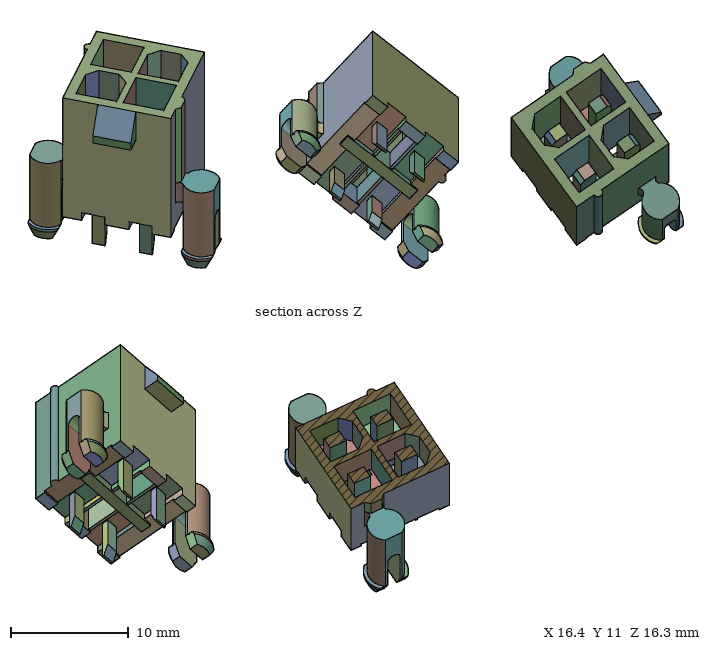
import cadquery as cq
import math


housing_side = 9.6
housing_height = 12.81
half_side = housing_side / 2

cavity_side = 3.6
divider = 0.59
cavity_corner = 0.9
cavity_floor = 3.28
cavity_pitch = cavity_side + divider
cavity_offset = cavity_pitch / 2

foot_width = 1.02
foot_height = 0.25
groove_length = (housing_side - 3 * foot_width) / 2
groove_offset = (groove_length + foot_width) / 2
middle_foot_length = cavity_pitch + cavity_side
window_width = 1.64
pocket_width = 2.05
pocket_height = 0.84

contact_width = 1.15
contact_thickness = 1.57
contact_top = 9.83
blade_tip_run = 0.41
blade_tip_rise = 0.67
tail_thickness = 0.62
tail_tip_run = 0.45
tail_tip_rise = 1.11
tail_bottom = -3.49
rear_contact_face = 2.87
front_contact_face = -3.28

latch_width = 3.37
latch_reach = 1.41
latch_height = 3.08
latch_slope_drop = 2.33

round_rib_radius = 0.4
round_rib_y = 2.59
key_rib_reach = 0.4
key_rib_width = 1.87

overall_width = 16.38
peg_y = -2.52
peg_diameter = 3.2
peg_flat_width = 2.77
peg_top = 4.83
peg_bottom = -3.28
peg_x = (overall_width - peg_flat_width) / 2
barb_diameter = 3.83
barb_top = -2.05
barb_rim = 0.26
barb_tip_width = 1.59
slot_width = 1.18
slot_top = 1.95
neck_height = 2.08
neck_root_width = key_rib_width
neck_waist = 1.44


def box(x_size, y_size, z_low, z_high, x=0.0, y=0.0):
    """Upright block centred at (x, y)."""
    block = cq.Workplane("XY").box(x_size, y_size, z_high - z_low, centered=(True, True, False))
    return block.translate((x, y, z_low))


def make_cavity(column, row):
    """Blind cavity; those on one diagonal have their two +Y corners cut off."""
    cavity = box(
        cavity_side, cavity_side, cavity_floor, housing_height,
        column * cavity_offset, row * cavity_offset,
    )
    if column == row:
        cavity = cavity.faces(">Y").edges("|Z").chamfer(cavity_corner)
    return cavity


def make_contact(column, outer_face):
    """Thick blade in the cavity and a thin tail, both tapered at the tip and flush outside."""
    row = math.copysign(1, outer_face)
    blade_inner = outer_face - row * contact_thickness
    tail_inner = outer_face - row * tail_thickness
    profile = [
        (blade_inner, pocket_height),
        (blade_inner, contact_top),
        (outer_face - row * blade_tip_run, contact_top),
        (outer_face, contact_top - blade_tip_rise),
        (outer_face, tail_bottom),
        (tail_inner + row * tail_tip_run, tail_bottom),
        (tail_inner, tail_bottom + tail_tip_rise),
        (tail_inner, pocket_height),
    ]
    contact = cq.Workplane("YZ").polyline(profile).close().extrude(contact_width / 2, both=True)
    return contact.translate((column * cavity_offset, 0, 0))


def make_latch():
    """Ramp sloping out from the top edge of the front face."""
    lip = -half_side - latch_reach
    profile = [
        (-half_side, housing_height),
        (lip, housing_height - latch_slope_drop),
        (lip, housing_height - latch_height),
        (-half_side, housing_height - latch_height),
    ]
    return cq.Workplane("YZ").polyline(profile).close().extrude(latch_width / 2, both=True)


def make_round_rib():
    """Half-round rib on the -X side, from the groove level to the top."""
    rib = cq.Workplane("XY", origin=(-half_side, round_rib_y, foot_height)).circle(round_rib_radius)
    return rib.extrude(housing_height - foot_height)


def make_key_rib():
    """Rib with bevelled flanks on the +X side, above the peg neck."""
    root = key_rib_width / 2
    crest = root - key_rib_reach
    profile = [
        (half_side, -root),
        (half_side + key_rib_reach, -crest),
        (half_side + key_rib_reach, crest),
        (half_side, root),
    ]
    rib = cq.Workplane("XY", origin=(0, peg_y, peg_top)).polyline(profile).close()
    return rib.extrude(housing_height - peg_top)


def make_neck():
    """Waisted web from the housing to the +X peg."""
    peg_flat = peg_x - peg_flat_width / 2
    waist_x = (half_side + peg_flat) / 2
    root = neck_root_width / 2
    waist = neck_waist / 2
    end = math.sqrt((peg_diameter / 2) ** 2 - (peg_flat_width / 2) ** 2)
    neck = (
        cq.Workplane("XY", origin=(0, peg_y, peg_top - neck_height))
        .moveTo(half_side, -root)
        .threePointArc((waist_x, -waist), (peg_flat, -end))
        .lineTo(peg_flat, end)
        .threePointArc((waist_x, waist), (half_side, root))
        .close()
    )
    return neck.extrude(neck_height)


def make_peg():
    """Split snap-in peg on the +X side, with flats across X and a tapered barb."""
    barb_radius = barb_diameter / 2
    peg_radius = peg_diameter / 2
    half_profile = [
        (0, peg_top),
        (peg_radius, peg_top),
        (peg_radius, barb_top),
        (barb_radius, barb_top),
        (barb_radius, barb_top - barb_rim),
        (peg_radius, peg_bottom),
        (0, peg_bottom),
    ]
    turned = cq.Workplane("XZ").polyline(half_profile).close().revolve(360, (0, 0), (0, 1))

    flat = peg_flat_width / 2
    tip = barb_tip_width / 2
    flanks = [
        (-flat, peg_top),
        (flat, peg_top),
        (flat, barb_top),
        (tip, peg_bottom),
        (-tip, peg_bottom),
        (-flat, barb_top),
    ]
    envelope = cq.Workplane("XZ").polyline(flanks).close().extrude(barb_diameter, both=True)

    slot_arc_z = slot_top - slot_width / 2
    slot = box(peg_diameter, slot_width, peg_bottom, slot_arc_z)
    slot_end = cq.Workplane("YZ", origin=(0, 0, slot_arc_z)).circle(slot_width / 2)
    slot = slot.union(slot_end.extrude(peg_diameter / 2, both=True))
    return turned.intersect(envelope).cut(slot).translate((peg_x, peg_y, 0))


housing = box(housing_side, housing_side, 0, housing_height)
for column in (-1, 1):
    for row in (-1, 1):
        housing = housing.cut(make_cavity(column, row))

pocket_length = half_side - foot_width / 2
foot_gap = (housing_side - middle_foot_length) / 2
for side in (-1, 1):
    housing = housing.cut(box(foot_gap, foot_width, 0, foot_height, side * (half_side - foot_gap / 2)))
for row in (-1, 1):
    groove_y = row * groove_offset
    housing = housing.cut(box(housing_side, groove_length, 0, foot_height, 0, groove_y))
    housing = housing.cut(box(window_width, groove_length, 0, cavity_floor, 0, groove_y))
    for column in (-1, 1):
        pocket_y = row * (half_side - pocket_length / 2)
        pocket = box(pocket_width, pocket_length, 0, pocket_height, column * cavity_offset, pocket_y)
        housing = housing.cut(pocket)

result = housing.union(make_latch()).union(make_round_rib()).union(make_key_rib())
mount = make_neck().union(make_peg())
result = result.union(mount).union(mount.mirror("YZ"))

for column in (-1, 1):
    for outer_face in (rear_contact_face, front_contact_face):
        result = result.union(make_contact(column, outer_face))